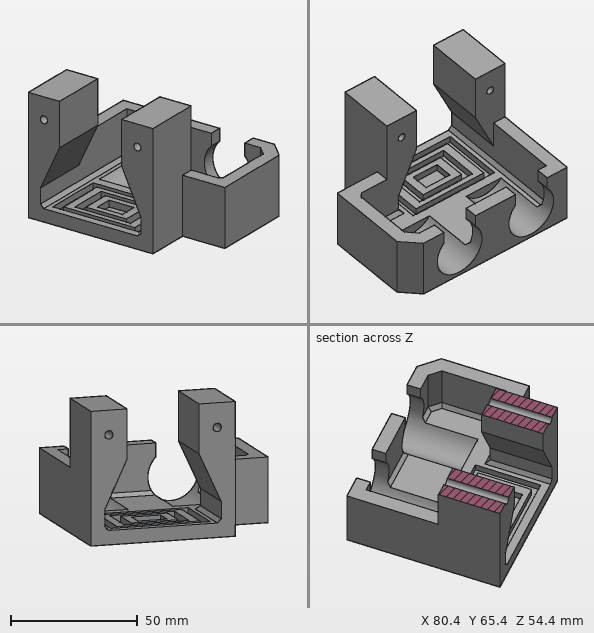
import cadquery as cq

length = 80.4
depth = 65.4
tray_height = 26.5
tray_front = 20.4
bracket_width = 60.05
bracket_height = 54.4
bracket_depth = 26.4

wall = 5.9
floor = 5.9
corner_cut = 7.5
pocket_corner_cut = 4.2
floor_chamfer = 1.6

bracket_center = bracket_width / 2
passage_half_width = bracket_center - wall
neck_half_width = 14.95
taper_start = 14.5
taper_end = 34.25

hole_diameter = 3.4
hole_spacing = 45.0
hole_height = 44.5

channel_centers = (18.25, 54.6)
channel_radius = 11.3
channel_height = 12.95
channel_start = 35.45
slot_width = 16.1

groove_center_y = 17.4
groove_depth = 3.0
groove_rectangles = ((41.3, 27.8), (34.4, 23.0), (26.85, 18.2), (19.5, 13.35), (12.1, 8.0))


def box(x0, x1, y0, y1, z0, z1):
    """Axis-aligned block between opposite corners."""
    return cq.Workplane("XY").box(x1 - x0, y1 - y0, z1 - z0, centered=False).translate((x0, y0, z0))


def make_body():
    tray = box(0, length, tray_front, depth, 0, tray_height)
    tray = tray.edges("|Z and >X and >Y").chamfer(corner_cut)
    bracket = box(0, bracket_width, 0, bracket_depth, 0, bracket_height)
    return tray.union(bracket)


def make_pocket():
    """Open-topped tray cavity with a cut corner and a chamfered floor rim; its front right corner is cut too."""
    pocket = box(wall, length - wall, bracket_depth, depth - wall, floor, bracket_height)
    pocket = pocket.edges("|Z and >X and >Y").chamfer(pocket_corner_cut)
    front_corner = pocket.edges("|Z").edges(">X").edges("<Y")
    return pocket.faces("<Z").edges().add(front_corner).chamfer(floor_chamfer)


def make_passage():
    """Bottle-shaped opening, carried past the bracket to clear the tray's floor chamfer."""
    half_profile = [
        (passage_half_width - floor_chamfer, floor),
        (passage_half_width, floor + floor_chamfer),
        (passage_half_width, taper_start),
        (neck_half_width, taper_end),
        (neck_half_width, bracket_height),
    ]
    right_side = [(bracket_center + x, z) for x, z in half_profile]
    left_side = [(bracket_center - x, z) for x, z in reversed(half_profile)]
    profile = cq.Workplane("XZ").polyline(right_side + left_side).close()
    return profile.extrude(-(bracket_depth + floor_chamfer))


def make_screw_holes():
    centers = [(bracket_center + side * hole_spacing / 2, hole_height) for side in (-1, 1)]
    return cq.Workplane("XZ").pushPoints(centers).circle(hole_diameter / 2).extrude(-bracket_depth)


def make_channel(center_x):
    """Cylindrical channel with a narrower slot opening to the top of the back wall."""
    cylinder = (
        cq.Workplane("XZ", origin=(center_x, channel_start, channel_height))
        .circle(channel_radius)
        .extrude(-(depth - channel_start))
    )
    half_slot = slot_width / 2
    slot = box(center_x - half_slot, center_x + half_slot, depth - wall, depth, channel_height, tray_height)
    return cylinder.union(slot)


def make_grooves():
    """Alternate recessed and raised rectangular rings around a recessed centre."""
    grooves = None
    for index, (width, height) in enumerate(groove_rectangles):
        slab = (
            cq.Workplane("XY", origin=(bracket_center, groove_center_y, floor - groove_depth))
            .rect(width, height)
            .extrude(groove_depth)
        )
        if grooves is None:
            grooves = slab
        elif index % 2:
            grooves = grooves.cut(slab)
        else:
            grooves = grooves.union(slab)
    return grooves


result = make_body().cut(make_pocket()).cut(make_passage()).cut(make_screw_holes())
for channel_x in channel_centers:
    result = result.cut(make_channel(channel_x))
result = result.cut(make_grooves())